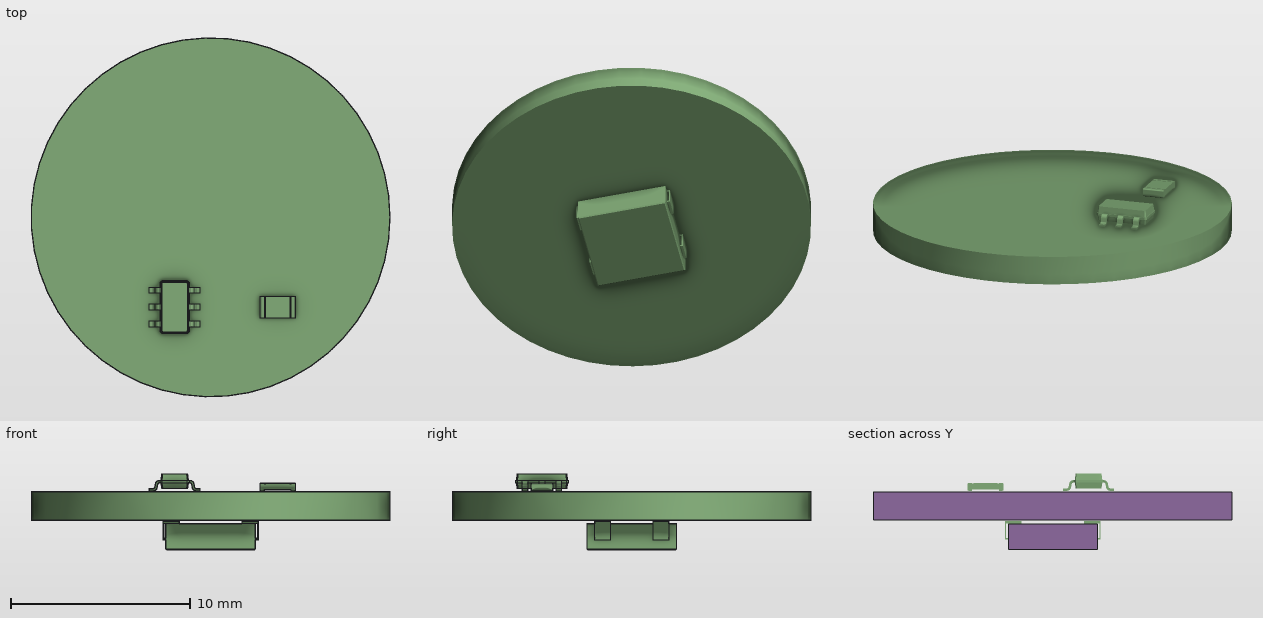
import cadquery as cq
import math

board_diameter = 20
board_thickness = 1.6

mounting_gap = 0.05

package_x = -2
package_y = -5
package_width = 1.55
package_length = 2.88
package_corner = 0.05
package_draft_inset = 0.05
package_top_z = board_thickness + 1
package_bottom_z = board_thickness + 0.18

rim_width = 1.65
rim_length = 2.95
rim_corner = 0.12

lead_span = 2.85
lead_width = 0.32
lead_pitch = 0.95
lead_thickness = 0.15
lead_foot_length = 0.22
lead_bend_radius = 0.15
lead_slope = math.radians(80)
lead_mid_z = board_thickness + 0.55

resistor_x = 3.75
resistor_y = -5
resistor_length = 2
resistor_width = 1.2
resistor_top_z = board_thickness + 0.48
terminal_length = 0.25
terminal_thickness = 0.05
terminal_edge_radius = 0.05
glaze_gap = 0.05
glaze_thickness = 0.05

lamp_side = 5
lamp_top_z = -0.18
lamp_bottom_z = -1.65
lamp_chamfer = 0.05

lamp_lead_span = 5.32
lamp_lead_width = 0.9
lamp_lead_spacing = 3.25
lamp_lead_bottom_z = -1.08
lamp_foot_length = 0.92
lamp_side_thickness = 0.05
lamp_tab_thickness = 0.1


def centered_box(size_x, size_y, bottom_z, top_z):
    """Box centred on the Z axis between two heights."""
    return (
        cq.Workplane("XY")
        .workplane(offset=bottom_z)
        .rect(size_x, size_y)
        .extrude(top_z - bottom_z)
    )


def make_board():
    return cq.Workplane("XY").circle(board_diameter / 2).extrude(board_thickness)


def clipped_outline(width, length, corner):
    """Points of a centred rectangle with its four corners cut off at 45 degrees."""
    x = width / 2
    y = length / 2
    return [
        (x, corner - y),
        (x, y - corner),
        (x - corner, y),
        (corner - x, y),
        (-x, y - corner),
        (-x, corner - y),
        (corner - x, -y),
        (x - corner, -y),
    ]


def make_package_half(outer_z):
    """Half of the moulded package, narrowing from the lead plane to its outer face."""
    outer_width = package_width - 2 * package_draft_inset
    outer_length = package_length - 2 * package_draft_inset
    return (
        cq.Workplane("XY")
        .workplane(offset=lead_mid_z)
        .polyline(clipped_outline(package_width, package_length, package_corner))
        .close()
        .workplane(offset=outer_z - lead_mid_z)
        .polyline(clipped_outline(outer_width, outer_length, package_corner))
        .close()
        .loft(ruled=True)
    )


def make_rim():
    return (
        cq.Workplane("XY")
        .workplane(offset=lead_mid_z - lead_thickness / 2)
        .polyline(clipped_outline(rim_width, rim_length, rim_corner))
        .close()
        .extrude(lead_thickness)
    )


def make_gull_wing_lead():
    """Lead on the +X side, from inside the package out and down to a flat foot."""
    tip_x = lead_span / 2
    foot_x = tip_x - lead_foot_length
    foot_z = board_thickness + mounting_gap + lead_thickness / 2

    bend_run = lead_bend_radius * math.sin(lead_slope)
    bend_drop = lead_bend_radius * (1 - math.cos(lead_slope))
    leg_drop = lead_mid_z - foot_z - 2 * bend_drop
    leg_run = leg_drop / math.tan(lead_slope)
    leg_top = (foot_x - bend_run - leg_run, lead_mid_z - bend_drop)
    leg_bottom = (foot_x - bend_run, foot_z + bend_drop)

    path = (
        cq.Workplane("XZ")
        .moveTo(0, lead_mid_z)
        .lineTo(leg_top[0] - bend_run, lead_mid_z)
        .radiusArc(leg_top, lead_bend_radius)
        .lineTo(*leg_bottom)
        .radiusArc((foot_x, foot_z), -lead_bend_radius)
        .lineTo(tip_x, foot_z)
    )
    return (
        cq.Workplane("YZ")
        .center(0, lead_mid_z)
        .rect(lead_width, lead_thickness)
        .sweep(path)
    )


def make_package():
    package = make_package_half(package_top_z).union(make_package_half(package_bottom_z))
    package = package.union(make_rim())
    right_lead = make_gull_wing_lead()
    left_lead = right_lead.mirror("YZ")
    for row in (-1, 0, 1):
        for lead in (right_lead, left_lead):
            package = package.union(lead.translate((0, row * lead_pitch, 0)))
    return package.translate((package_x, package_y, 0))


def make_resistor():
    """Ceramic block with a wrapped terminal at each end and a glaze panel on top."""
    bottom_z = board_thickness + mounting_gap
    between_terminals = resistor_length - 2 * terminal_length
    glaze_length = between_terminals - 2 * glaze_gap
    resistor = centered_box(resistor_length, resistor_width, bottom_z, resistor_top_z)
    resistor = resistor.edges("|Y").fillet(terminal_edge_radius)
    bottom_recess = centered_box(
        between_terminals, resistor_width, bottom_z, bottom_z + terminal_thickness
    )
    top_recess = centered_box(
        between_terminals, resistor_width, resistor_top_z - glaze_thickness, resistor_top_z
    )
    glaze = centered_box(
        glaze_length, resistor_width, resistor_top_z - glaze_thickness, resistor_top_z
    )
    resistor = resistor.cut(bottom_recess).cut(top_recess).union(glaze)
    return resistor.translate((resistor_x, resistor_y, 0))


def make_lamp_lead():
    """Lead on the +X side, folded from the board around to the side of the lamp."""
    outer_x = lamp_lead_span / 2
    inner_x = outer_x - lamp_side_thickness
    foot_x = outer_x - lamp_foot_length
    tab_top_z = lamp_lead_bottom_z + lamp_tab_thickness
    return (
        cq.Workplane("XZ")
        .moveTo(foot_x, -mounting_gap)
        .lineTo(outer_x, -mounting_gap)
        .lineTo(outer_x, lamp_lead_bottom_z)
        .lineTo(lamp_side / 2, lamp_lead_bottom_z)
        .lineTo(lamp_side / 2, tab_top_z)
        .lineTo(inner_x, tab_top_z)
        .lineTo(inner_x, lamp_top_z)
        .lineTo(foot_x, lamp_top_z)
        .close()
        .extrude(lamp_lead_width / 2, both=True)
    )


def make_lamp():
    lamp = centered_box(lamp_side, lamp_side, lamp_bottom_z, lamp_top_z)
    lamp = lamp.faces("<Z").chamfer(lamp_chamfer)
    right_lead = make_lamp_lead()
    left_lead = right_lead.mirror("YZ")
    for side in (-1, 1):
        for lead in (right_lead, left_lead):
            lamp = lamp.union(lead.translate((0, side * lamp_lead_spacing / 2, 0)))
    return lamp


board = make_board()
package = make_package()
resistor = make_resistor()
lamp = make_lamp()

result = cq.Compound.makeCompound(
    [
        board.solids().val(),
        package.solids().val(),
        resistor.solids().val(),
        lamp.solids().val(),
    ]
)